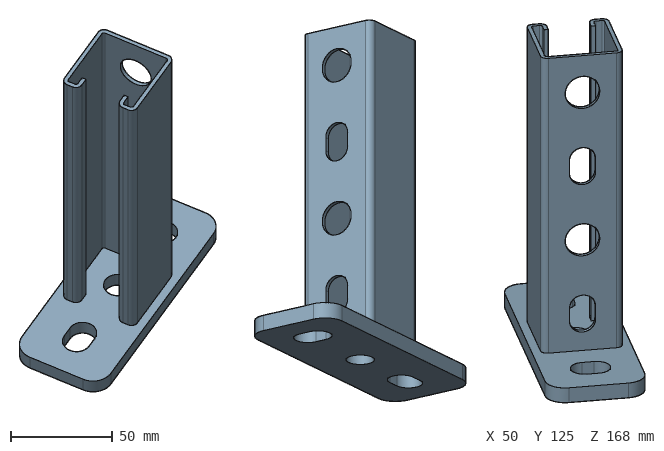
import cadquery as cq

total_height = 168.0
plate_width = 50.0
plate_length = 125.0
plate_thickness = 8.0
plate_corner_radius = 10.0
plate_hole_diameter = 14.0
plate_slot_length = 20.0
front_slot_offset = 39.0
rear_slot_offset = 41.3

channel_size = 41.0
wall = 2.2
outer_bend_radius = 3.4
inner_bend_radius = outer_bend_radius - wall
lip_width = 9.7
lip_height = 7.5
channel_length = total_height - plate_thickness

opening_pitch = 40.0
opening_pairs = 2
back_hole_diameter = 17.3
back_slot_width = 13.1
back_slot_length = 20.0


def make_base_plate():
    """Rounded plate with a central hole and two slots at right angles to each other."""
    plate = (
        cq.Workplane("XY")
        .rect(plate_width, plate_length)
        .extrude(plate_thickness)
        .edges("|Z")
        .fillet(plate_corner_radius)
    )
    center_hole = cq.Workplane("XY").circle(plate_hole_diameter / 2).extrude(plate_thickness)
    front_slot = (
        cq.Workplane("XY")
        .center(0, -front_slot_offset)
        .slot2D(plate_slot_length, plate_hole_diameter, 90)
        .extrude(plate_thickness)
    )
    rear_slot = (
        cq.Workplane("XY")
        .center(0, rear_slot_offset)
        .slot2D(plate_slot_length, plate_hole_diameter)
        .extrude(plate_thickness)
    )
    return plate.cut(center_hole).cut(front_slot).cut(rear_slot)


def round_bends(body, x_positions, y_positions, radius):
    """Fillet the channel's vertical edges at every mix of the given positions."""
    mid_height = plate_thickness + channel_length / 2
    edges = [
        body.edges(cq.NearestToPointSelector((x, y, mid_height))).val()
        for x in x_positions
        for y in y_positions
    ]
    return body.newObject(edges).fillet(radius)


def make_channel_profile():
    """C-shaped channel whose front edges turn in and then back into lips."""
    half = channel_size / 2
    inner_half = half - wall
    mouth_half = half - lip_width
    lip_inner = mouth_half + wall
    lip_end = lip_height - half

    outline = [
        (-mouth_half, lip_end),
        (-mouth_half, -half),
        (-half, -half),
        (-half, half),
        (half, half),
        (half, -half),
        (mouth_half, -half),
        (mouth_half, lip_end),
        (lip_inner, lip_end),
        (lip_inner, -inner_half),
        (inner_half, -inner_half),
        (inner_half, inner_half),
        (-inner_half, inner_half),
        (-inner_half, -inner_half),
        (-lip_inner, -inner_half),
        (-lip_inner, lip_end),
    ]
    profile = (
        cq.Workplane("XY", origin=(0, 0, plate_thickness))
        .polyline(outline)
        .close()
        .extrude(channel_length)
    )

    profile = round_bends(profile, (-half, half), (-half, half), outer_bend_radius)
    profile = round_bends(profile, (-mouth_half, mouth_half), (-half,), outer_bend_radius)
    profile = round_bends(profile, (-inner_half, inner_half), (-inner_half, inner_half), inner_bend_radius)
    return round_bends(profile, (-lip_inner, lip_inner), (-inner_half,), inner_bend_radius)


def make_channel():
    """Channel with its back wall pierced by alternating round holes and slots."""
    channel = make_channel_profile()
    top_hole_z = total_height - opening_pitch / 2
    for pair in range(opening_pairs):
        hole_z = top_hole_z - 2 * pair * opening_pitch
        slot_z = hole_z - opening_pitch
        back_hole = (
            cq.Workplane("XZ", origin=(0, 0, hole_z))
            .circle(back_hole_diameter / 2)
            .extrude(-channel_size)
        )
        back_slot = (
            cq.Workplane("XZ", origin=(0, 0, slot_z))
            .slot2D(back_slot_length, back_slot_width, 90)
            .extrude(-channel_size)
        )
        channel = channel.cut(back_hole).cut(back_slot)
    return channel


base_plate = make_base_plate()
channel = make_channel()

result = cq.Compound.makeCompound([base_plate.val(), channel.val()])